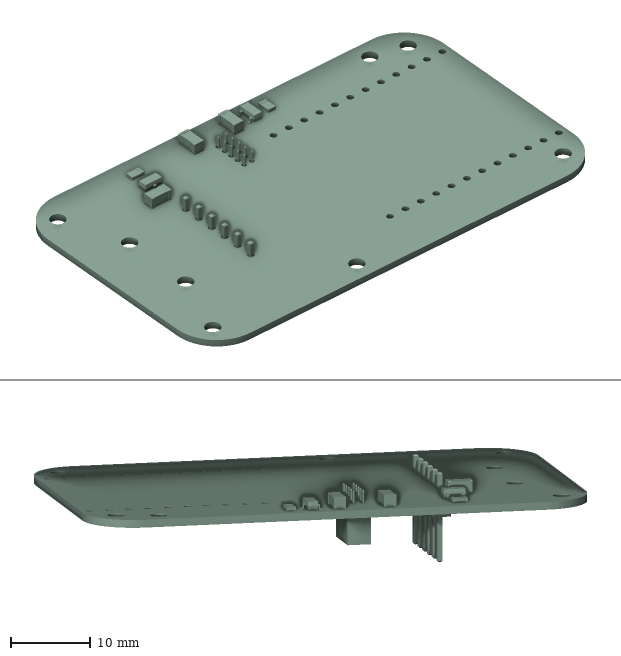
import cadquery as cq

BOARD_LENGTH_X = 38.4
BOARD_LENGTH_Y = 65.5
BOARD_THICKNESS = 1.0
BOARD_CORNER_RADIUS = 6.5

MOUNT_HOLE_DIAMETER = 2.2
CORNER_HOLE_X = 15.2
CORNER_HOLE_Y = 29.0
LOWER_HOLE_X = 5.5
LOWER_HOLE_Y = -25.3
EXTRA_HOLE_POSITIONS = [(-16.5, 23.75), (16.5, -6.25)]

PITCH = 2.54
PIN_HOLE_DIAMETER = 1.0
MODULE_ROW_SPACING = 9 * PITCH
MODULE_HOLES_PER_ROW = 12
MODULE_FIRST_HOLE_Y = 3.54

HEADER_PIN_COUNT = 6
HEADER_CENTER = (0, -15.25)
HEADER_BASE_HEIGHT = 2.54
HEADER_BASE_CHAMFER = PITCH / 10
HEADER_PIN_WIDTH = 0.64
HEADER_PIN_TIP_CHAMFER = HEADER_PIN_WIDTH / 4
HEADER_PIN_LENGTH = 11.54
HEADER_PIN_ABOVE_BASE = 3.0

SOCKET_PITCH = PITCH / 2
SOCKET_COLUMNS = 5
SOCKET_ROWS = 2
SOCKET_CENTER = (-11.5, -2.79)
SOCKET_BODY_WIDTH = 3.05
SOCKET_BODY_HEIGHT = 4.3
SOCKET_HOLE_DIAMETER = 0.7
SOCKET_PIN_WIDTH = 0.5
SOCKET_PIN_THICKNESS = 0.15
SOCKET_PIN_TIP_CHAMFER = 0.15
SOCKET_PIN_ABOVE_BODY = 2.6

CAPACITOR_PLACES = [(-16.2, 0.5, 0), (-16.2, -6.05, 0), (-9.95, -16.9, 90)]
CAPACITOR_LENGTH = 3.2
CAPACITOR_WIDTH = 1.6
CAPACITOR_HEIGHT = 1.6
CAPACITOR_TERMINAL_LENGTH = 0.4
CAPACITOR_TERMINAL_FILLET = 0.1
CAPACITOR_CORE_INSET = 0.05

RESISTOR_PLACES = [(-16.5, 6.75, 0), (-16.05, -15.45, 90)]
RESISTOR_LENGTH = 2.0
RESISTOR_WIDTH = 1.2
RESISTOR_HEIGHT = 0.5
RESISTOR_TERMINAL_LENGTH = 0.4
RESISTOR_CORE_INSET = 0.05

TRANSISTOR_PLACES = [(-16.4, 4.0, 90), (-13.05, -15.45, 0)]
TRANSISTOR_BODY_WIDTH = 1.4
TRANSISTOR_BODY_LENGTH = 2.9
TRANSISTOR_STANDOFF = 0.1
TRANSISTOR_PARTING_HEIGHT = 0.6
TRANSISTOR_HEIGHT = 1.15
TRANSISTOR_DRAFT = 8
LEAD_SPAN = 2.5
LEAD_WIDTH = 0.4
LEAD_THICKNESS = 0.15
LEAD_FOOT_LENGTH = 0.4
LEAD_PITCH = 0.95


def row_positions(center, count, pitch):
    """Evenly spaced coordinates centred on the given value."""
    return [center + (i - (count - 1) / 2) * pitch for i in range(count)]


header_pin_points = [
    (x, HEADER_CENTER[1])
    for x in row_positions(HEADER_CENTER[0], HEADER_PIN_COUNT, PITCH)
]
socket_pin_points = [
    (x, y)
    for x in row_positions(SOCKET_CENTER[0], SOCKET_COLUMNS, SOCKET_PITCH)
    for y in row_positions(SOCKET_CENTER[1], SOCKET_ROWS, SOCKET_PITCH)
]


def box(length, width, height, bottom=0.0):
    """Box centred in X and Y whose lower face sits at the given height."""
    return cq.Workplane("XY", origin=(0, 0, bottom)).box(length, width, height, centered=(True, True, False))


def place_on_board(part, place):
    """Turn a part modelled at the origin and set it on the board's top face."""
    x, y, turn = place
    return part.rotate((0, 0, 0), (0, 0, 1), turn).translate((x, y, BOARD_THICKNESS))


def make_board():
    plate = box(BOARD_LENGTH_X, BOARD_LENGTH_Y, BOARD_THICKNESS).edges("|Z").fillet(BOARD_CORNER_RADIUS)

    corner_points = [(sx * CORNER_HOLE_X, sy * CORNER_HOLE_Y) for sx in (-1, 1) for sy in (-1, 1)]
    lower_points = [(sx * LOWER_HOLE_X, LOWER_HOLE_Y) for sx in (-1, 1)]
    mount_points = corner_points + lower_points + EXTRA_HOLE_POSITIONS
    module_points = [
        (sx * MODULE_ROW_SPACING / 2, MODULE_FIRST_HOLE_Y + i * PITCH)
        for sx in (-1, 1)
        for i in range(MODULE_HOLES_PER_ROW)
    ]

    for points, diameter in (
        (mount_points, MOUNT_HOLE_DIAMETER),
        (module_points + header_pin_points, PIN_HOLE_DIAMETER),
        (socket_pin_points, SOCKET_HOLE_DIAMETER),
    ):
        holes = cq.Workplane("XY").pushPoints(points).circle(diameter / 2).extrude(BOARD_THICKNESS)
        plate = plate.cut(holes)
    return plate


def make_header():
    """One octagonal block per pin, joined side by side, each with a square pin through it."""
    block = box(PITCH, PITCH, HEADER_BASE_HEIGHT, -HEADER_BASE_HEIGHT).edges("|Z").chamfer(HEADER_BASE_CHAMFER)
    pin_bottom = HEADER_PIN_ABOVE_BASE - HEADER_PIN_LENGTH
    pin = box(HEADER_PIN_WIDTH, HEADER_PIN_WIDTH, HEADER_PIN_LENGTH, pin_bottom)
    pin = pin.faces("<Z or >Z").chamfer(HEADER_PIN_TIP_CHAMFER)
    segment = block.union(pin)

    header = cq.Workplane("XY")
    for x, y in header_pin_points:
        header = header.union(segment.translate((x, y, 0)))
    return header


def make_socket():
    """Plain block with flat contact tails rising through the board."""
    body = box(SOCKET_COLUMNS * SOCKET_PITCH, SOCKET_BODY_WIDTH, SOCKET_BODY_HEIGHT, -SOCKET_BODY_HEIGHT)
    socket = body.translate((*SOCKET_CENTER, 0))
    tail = box(SOCKET_PIN_WIDTH, SOCKET_PIN_THICKNESS, SOCKET_PIN_ABOVE_BODY)
    tail = tail.faces(">Z").edges("|Y").chamfer(SOCKET_PIN_TIP_CHAMFER)
    for x, y in socket_pin_points:
        socket = socket.union(tail.translate((x, y, 0)))
    return socket


def add_terminals(core, terminal, length, terminal_length):
    """Join one end terminal to each end of a chip core."""
    offset = (length - terminal_length) / 2
    return core.union(terminal.translate((-offset, 0, 0))).union(terminal.translate((offset, 0, 0)))


def make_capacitor():
    """Sharp-edged core between two slightly larger terminals with rounded long edges."""
    core = box(
        CAPACITOR_LENGTH - CAPACITOR_TERMINAL_LENGTH,
        CAPACITOR_WIDTH - 2 * CAPACITOR_CORE_INSET,
        CAPACITOR_HEIGHT - 2 * CAPACITOR_CORE_INSET,
        CAPACITOR_CORE_INSET,
    )
    terminal = box(CAPACITOR_TERMINAL_LENGTH, CAPACITOR_WIDTH, CAPACITOR_HEIGHT)
    terminal = terminal.edges("|X").fillet(CAPACITOR_TERMINAL_FILLET)
    return add_terminals(core, terminal, CAPACITOR_LENGTH, CAPACITOR_TERMINAL_LENGTH)


def make_resistor():
    """Flat core between two slightly thicker terminals of the same width."""
    core = box(
        RESISTOR_LENGTH - RESISTOR_TERMINAL_LENGTH,
        RESISTOR_WIDTH,
        RESISTOR_HEIGHT - 2 * RESISTOR_CORE_INSET,
        RESISTOR_CORE_INSET,
    )
    terminal = box(RESISTOR_TERMINAL_LENGTH, RESISTOR_WIDTH, RESISTOR_HEIGHT)
    return add_terminals(core, terminal, RESISTOR_LENGTH, RESISTOR_TERMINAL_LENGTH)


def make_lead():
    """Gull-wing lead reaching from the body's centre out along +X."""
    half_span = LEAD_SPAN / 2
    shoulder = half_span - LEAD_FOOT_LENGTH
    arm_top = TRANSISTOR_PARTING_HEIGHT + LEAD_THICKNESS / 2
    arm_bottom = arm_top - LEAD_THICKNESS
    outline = [
        (0, arm_bottom),
        (shoulder, arm_bottom),
        (shoulder, 0),
        (half_span, 0),
        (half_span, LEAD_THICKNESS),
        (shoulder + LEAD_THICKNESS, LEAD_THICKNESS),
        (shoulder + LEAD_THICKNESS, arm_top),
        (0, arm_top),
    ]
    return cq.Workplane("XZ").polyline(outline).close().extrude(LEAD_WIDTH / 2, both=True)


def make_drafted_half(height):
    """Half of the transistor body, narrowing upwards from the parting line at Z = 0."""
    section = cq.Workplane("XY").rect(TRANSISTOR_BODY_WIDTH, TRANSISTOR_BODY_LENGTH)
    return section.extrude(height, taper=TRANSISTOR_DRAFT)


def make_transistor():
    """Body drafted above and below its parting line, with one lead on +X and two on -X."""
    upper = make_drafted_half(TRANSISTOR_HEIGHT - TRANSISTOR_PARTING_HEIGHT)
    lower = make_drafted_half(TRANSISTOR_PARTING_HEIGHT - TRANSISTOR_STANDOFF).mirror("XY")
    transistor = upper.union(lower).translate((0, 0, TRANSISTOR_PARTING_HEIGHT))

    lead = make_lead()
    transistor = transistor.union(lead)
    opposite_lead = lead.mirror("YZ")
    for y in (-LEAD_PITCH, LEAD_PITCH):
        transistor = transistor.union(opposite_lead.translate((0, y, 0)))
    return transistor


board = make_board()
header = make_header()
socket = make_socket()
capacitors = [place_on_board(make_capacitor(), place) for place in CAPACITOR_PLACES]
resistors = [place_on_board(make_resistor(), place) for place in RESISTOR_PLACES]
transistors = [place_on_board(make_transistor(), place) for place in TRANSISTOR_PLACES]

result = cq.Compound.makeCompound(
    [part.val() for part in [board, header, socket, *capacitors, *resistors, *transistors]]
)